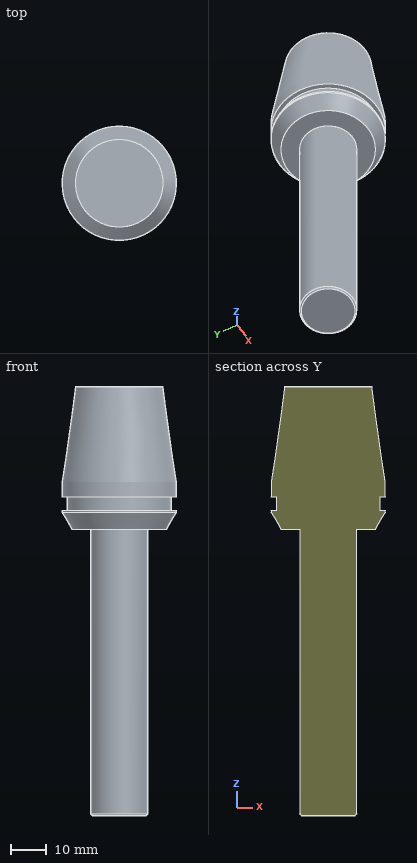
import cadquery as cq

total_length = 119.98
shank_length = 80.0

shank_radius = 16.0 / 2
shank_chamfer = 0.5

head_radius = 32.0 / 2
head_bottom_radius = 13.2
groove_radius = 29.16 / 2
crown_top_radius = 24.46 / 2
lower_cone_height = 4.8
lower_rim_height = 0.6
groove_width = 3.7
collar_height = 4.1

rim_bottom = shank_length + lower_cone_height
groove_bottom = rim_bottom + lower_rim_height
collar_bottom = groove_bottom + groove_width
collar_top = collar_bottom + collar_height


def make_part():
    """Revolve the half profile (radius, height) about the Z axis."""
    profile = (
        cq.Workplane("YZ")
        .moveTo(0, 0)
        .lineTo(shank_radius - shank_chamfer, 0)
        .lineTo(shank_radius, shank_chamfer)
        .lineTo(shank_radius, shank_length)
        .lineTo(head_bottom_radius, shank_length)
        .lineTo(head_radius, rim_bottom)
        .lineTo(head_radius, groove_bottom)
        .lineTo(groove_radius, groove_bottom)
        .lineTo(groove_radius, collar_bottom)
        .lineTo(head_radius, collar_bottom)
        .lineTo(head_radius, collar_top)
        .lineTo(crown_top_radius, total_length)
        .lineTo(0, total_length)
        .close()
    )
    return profile.revolve(360, (0, 0, 0), (0, 1, 0))


result = make_part()